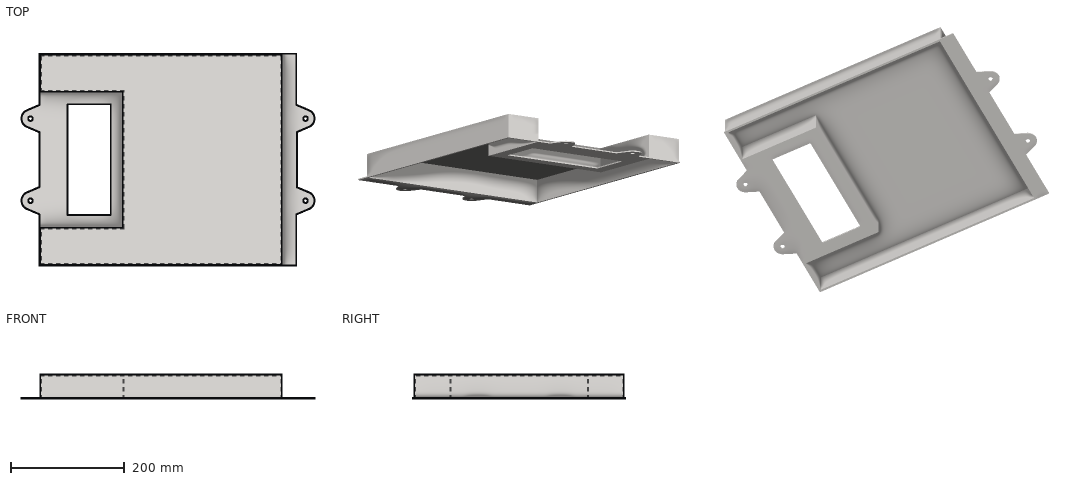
import cadquery as cq
import math

overall_length = 516.0
overall_width = 373.0
overall_height = 43.0
sheet = 2.0

plate_left = -226.5
plate_right = 226.0
edge_step = 1.0
window_left = -176.5
window_right = -101.0
window_width = 194.5

lug_tip_radius = 16.0
lug_hole_diameter = 7.5
lug_base_half_width = 24.0
lug_spacing = 144.5
lug_hole_x = overall_length / 2 - lug_tip_radius

side_ledge = 1.8
housing_left = -225.0
housing_right = 200.0
housing_width = overall_width - 2 * side_ledge
recess_right = -80.0
recess_width = 239.5


def block(left, right, width, height):
    """Box standing on the plate's underside level, centred on the X axis in plan."""
    return (
        cq.Workplane("XY")
        .box(right - left, width, height, centered=(False, True, False))
        .translate((left, 0, 0))
    )


def right_lug(hole_y):
    """Lug on the right edge, with straight flanks tangent to a round tip about its hole."""
    reach = lug_hole_x - plate_right
    root_distance = math.hypot(reach, lug_base_half_width)
    root_angle = math.atan2(lug_base_half_width, -reach)
    tangent_angle = root_angle - math.acos(lug_tip_radius / root_distance)
    tangent_x = lug_hole_x + lug_tip_radius * math.cos(tangent_angle)
    tangent_y = lug_tip_radius * math.sin(tangent_angle)

    inner_x = plate_right - lug_tip_radius
    return (
        cq.Workplane("XY")
        .moveTo(inner_x, -lug_base_half_width)
        .lineTo(plate_right, -lug_base_half_width)
        .lineTo(tangent_x, -tangent_y)
        .threePointArc((overall_length / 2, 0), (tangent_x, tangent_y))
        .lineTo(plate_right, lug_base_half_width)
        .lineTo(inner_x, lug_base_half_width)
        .close()
        .extrude(sheet)
        .translate((0, hole_y, 0))
    )


def base_plate():
    """Flat plate with four drilled lugs and a rectangular window."""
    plate = block(plate_left, plate_right, overall_width, sheet)
    plate = plate.union(block(0, plate_right + edge_step, lug_spacing, sheet))
    for hole_y in (-lug_spacing / 2, lug_spacing / 2):
        lug = right_lug(hole_y)
        plate = plate.union(lug).union(lug.mirror("YZ"))
    holes = (
        cq.Workplane("XY")
        .rect(2 * lug_hole_x, lug_spacing, forConstruction=True)
        .vertices()
        .circle(lug_hole_diameter / 2)
        .extrude(sheet)
    )
    window = block(window_left, window_right, window_width, sheet)
    return plate.cut(holes).cut(window)


def housing_form(inset):
    """U-shaped housing volume with its walls and roof moved inward by inset."""
    body = block(
        housing_left + inset,
        housing_right - inset,
        housing_width - 2 * inset,
        overall_height - inset,
    )
    recess = block(plate_left, recess_right + inset, recess_width + 2 * inset, overall_height)
    return body.cut(recess)


result = base_plate().union(housing_form(0)).cut(housing_form(sheet))